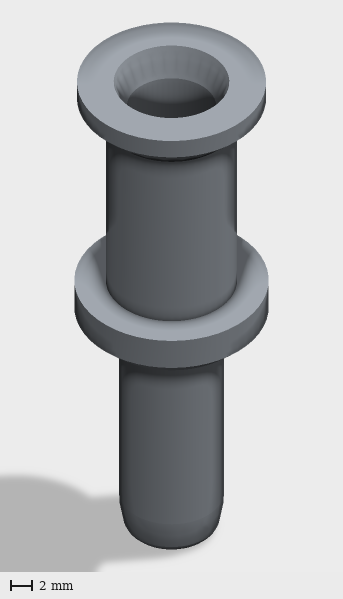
import cadquery as cq
import math

total_height = 54.0
tip_height = 4.0
collar_bottom = 25.0
collar_height = 4.8
collar_chamfer = 1.5
head_rim_height = 2.0

pin_radius = 10.0 / 2
tip_taper_curve_radius = 12.0
tip_edge_fillet = 1.2
collar_radius = 18.5 / 2
barrel_radius = 12.5 / 2
head_radius = 18.0 / 2

bore_radius = 8.5 / 2
mouth_radius = 11.0 / 2
mouth_depth = 3.0
drill_point_angle = 118.0

collar_top = collar_bottom + collar_height
rim_bottom = total_height - head_rim_height
flare_bottom = rim_bottom - (head_radius - barrel_radius)
drill_point_height = bore_radius / math.tan(math.radians(drill_point_angle / 2))

arc_center_x = pin_radius - tip_taper_curve_radius


def tip_side_radius(height):
    """Part radius on the tapering arc at the given height above the tip end."""
    drop = tip_height - height
    return arc_center_x + math.sqrt(tip_taper_curve_radius**2 - drop**2)


def make_body():
    """Solid of revolution: rounded pin tip, pin, collar, barrel and flared head."""
    profile = (
        cq.Workplane("XZ")
        .lineTo(tip_side_radius(0), 0)
        .threePointArc((tip_side_radius(tip_height / 2), tip_height / 2), (pin_radius, tip_height))
        .lineTo(pin_radius, collar_bottom)
        .lineTo(collar_radius - collar_chamfer, collar_bottom)
        .lineTo(collar_radius, collar_bottom + collar_chamfer)
        .lineTo(collar_radius, collar_top)
        .lineTo(barrel_radius, collar_top)
        .lineTo(barrel_radius, flare_bottom)
        .lineTo(head_radius, rim_bottom)
        .lineTo(head_radius, total_height)
        .lineTo(0, total_height)
        .close()
    )
    body = profile.revolve(360, (0, 0), (0, 1))
    return body.faces("<Z").edges().fillet(tip_edge_fillet)


def make_bore():
    """Blind bore down to the collar with a flared mouth and a conical drill point."""
    profile = (
        cq.Workplane("XZ")
        .moveTo(0, collar_top - drill_point_height)
        .lineTo(bore_radius, collar_top)
        .lineTo(bore_radius, total_height - mouth_depth)
        .lineTo(mouth_radius, total_height)
        .lineTo(0, total_height)
        .close()
    )
    return profile.revolve(360, (0, 0), (0, 1))


result = make_body().cut(make_bore())